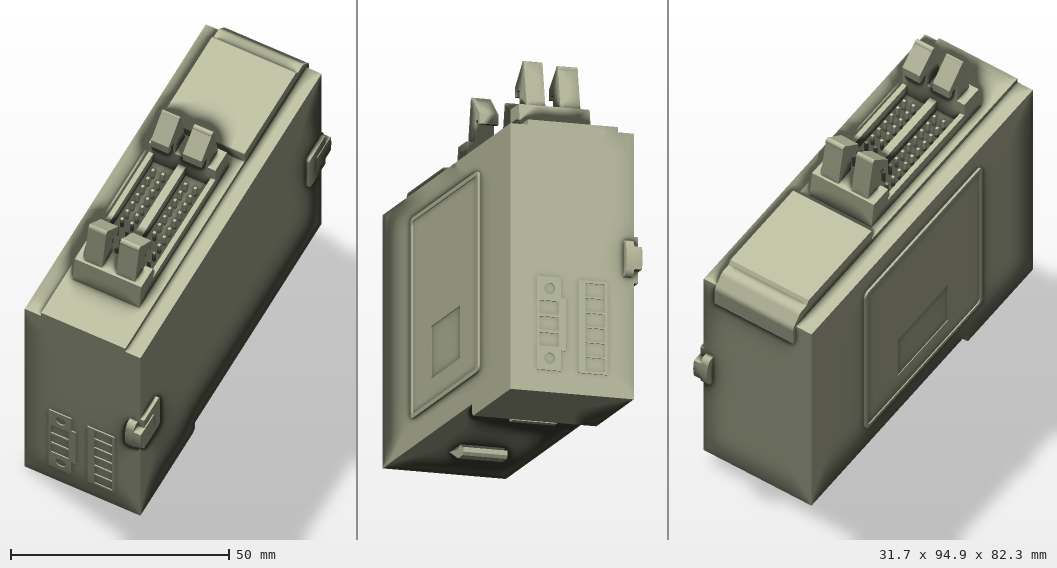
import cadquery as cq


body_width = 29.9
body_length = 89.8
body_top = 62.8
body_underside = 2.9
foot_end = 27.1
foot_chamfer_run = 0.9
foot_chamfer_rise = 1.0
side = body_width / 2
body_mid_y = body_length / 2

cover_x = 0.2
cover_width = 21.7
cover_top = 64.1
door_front = 59.0
door_back = 91.0
door_bottom = 58.0
door_top = 67.1
door_step_z = 66.05
door_step_y = 85.5
door_step_bevel = 0.95
door_corner_chamfer = 3.0
door_corner_radius = 1.9
door_edge_radius = 0.3
edge_tolerance = 0.1

connector_y = 33.9
base_width = 17.2
base_half_bottom = 22.3
base_half_top = 21.3
base_top = 71.0
slot_half = 15.5
slot_floor = 67.4
pocket_offset = 4.2
pocket_width = 6.5
pin_size = 0.7
pin_pitch = 2.6
pin_rows = 10
pin_height = 3.0

latch_foot_half = 20.6
latch_outer_half = 18.7
latch_crest_half = 17.8
latch_bend_half = 17.3
hook_tip_half = 12.4
lip_inner_half = 13.6
hook_tip_z = 77.2
lip_bottom = 74.7
latch_bend_drop = 0.6
latch_shoulder_drop = 0.95
latch_arc_drop = 0.3
left_latch_width = 4.6
left_latch_top = 82.1
left_hook_underside = 75.8
right_latch_width = 4.8
latch_height_difference = 0.6

panel_size = 47.45
panel_y = 44.9
panel_z = 33.0
panel_height = 0.6
panel_recess = 0.3
panel_frame = 0.95
panel_radius = 1.5
label_length = 20.3
label_height = 12.4
label_z = 21.8
label_depth = 0.2

block_height = 0.3
block_bottom = 5.1
screw_block_left = 6.4 - side
screw_block_width = 5.8
screw_block_length = 22.1
screw_block_key_width = 1.1
screw_block_key_length = 12.4
screw_block_window_width = 4.65
screw_block_window_x = 9.2 - side
screw_block_pitch = 3.8
screw_block_windows = 3
screw_x = 9.4 - side
screw_offset = 8.3
screw_radius = 1.3
plug_block_left = 16.3 - side
plug_block_width = 7.0
plug_block_length = 21.9
plug_block_window_width = 4.6
plug_block_window_x = 20.4 - side
plug_block_pitch = 3.5
plug_block_windows = 6
window_height = 3.1

lock_z = 32.9
overall_length = 94.9
lock_bulge = (overall_length - body_length) / 2
lock_flat = 0.95
lock_half_height = 4.3
lock_arc_edge = 2.2
lock_arc_half_height = 2.9
lock_mid_corner = (1.8, 3.7)
lock_left = 27.2 - side
lock_grip_width = 2.0
lock_slider_right = side + 1.2
lock_slider_half_height = 2.7
lock_slider_reach = 4.4
lock_slider_setback = 0.1
lock_plate_thickness = 0.95
lock_plate_reach = 7.9
lock_plate_half_height = 5.5
lock_plate_radius = 0.95

clip_width = 10.7
rail_face_z = 1.8
fixed_clip_tip_y = 29.7
fixed_clip_toe_y = 28.1
fixed_clip_bottom = -0.2
sprung_clip_tip_y = 60.7
sprung_clip_bevel = 0.7
sprung_clip_neck_y = 62.9
sprung_clip_heel_y = 64.5
sprung_clip_ramp_end = 70.6

overlap = 0.95


def box(x_range, y_range, z_range):
    sizes = [high - low for low, high in (x_range, y_range, z_range)]
    corner = (x_range[0], y_range[0], z_range[0])
    return cq.Workplane("XY").box(*sizes, centered=False).translate(corner)


def across(profile, x_left, x_right):
    """Extrude a closed (Y, Z) profile from x_left to x_right."""
    return profile.extrude(x_right - x_left).translate((x_left, 0, 0))


def polygon(points):
    return cq.Workplane("YZ").polyline(points).close()


def mirrored_in_y(shape, y_middle):
    return shape.mirror("XZ", (0, y_middle, 0))


def housing():
    outline = [
        (0, 0),
        (foot_end - foot_chamfer_run, 0),
        (foot_end, foot_chamfer_rise),
        (foot_end, body_underside),
        (body_length, body_underside),
        (body_length, body_top),
        (0, body_top),
    ]
    return across(polygon(outline), -side, side)


def cover_and_door():
    left = cover_x - cover_width / 2
    right = cover_x + cover_width / 2
    cover = box((left, right), (0, door_step_y), (body_top, cover_top))
    chamfer_start_y = door_back - door_corner_chamfer
    chamfer_end_z = door_step_z - door_corner_chamfer
    outline = [
        (door_front, body_top - overlap),
        (door_front, door_top),
        (door_step_y - door_step_bevel, door_top),
        (door_step_y, door_step_z),
        (chamfer_start_y, door_step_z),
        (door_back, chamfer_end_z),
        (door_back, door_bottom),
        (body_length - overlap, door_bottom),
        (body_length - overlap, body_top - overlap),
    ]
    door = across(polygon(outline), left, right)

    def edge_at(y, z):
        near = (-side, y - edge_tolerance, z - edge_tolerance)
        far = (side, y + edge_tolerance, z + edge_tolerance)
        return cq.selectors.BoxSelector(near, far)

    for y, z in ((chamfer_start_y, door_step_z), (door_back, chamfer_end_z)):
        door = door.edges(edge_at(y, z)).fillet(door_corner_radius)
    for y in (door_front, door_step_y - door_step_bevel):
        door = door.edges(edge_at(y, door_top)).fillet(door_edge_radius)
    return cover.union(door)


def connector_base():
    outline = [
        (connector_y - base_half_bottom, cover_top),
        (connector_y - base_half_top, base_top),
        (connector_y - slot_half, base_top),
        (connector_y - slot_half, slot_floor),
        (connector_y + slot_half, slot_floor),
        (connector_y + slot_half, base_top),
        (connector_y + base_half_top, base_top),
        (connector_y + base_half_bottom, cover_top),
    ]
    base = across(polygon(outline), -base_width / 2, base_width / 2)
    slot_range = (connector_y - slot_half, connector_y + slot_half)
    for x in (-pocket_offset, pocket_offset):
        pocket_range = (x - pocket_width / 2, x + pocket_width / 2)
        base = base.cut(box(pocket_range, slot_range, (cover_top, slot_floor)))
    return base


def pins(x_middle):
    return (
        cq.Workplane("XY", origin=(x_middle, connector_y, body_top))
        .rarray(pin_pitch, pin_pitch, 2, pin_rows)
        .rect(pin_size, pin_size)
        .extrude(cover_top + pin_height - body_top)
    )


def latch_pair(x_middle, width, top, underside, rounded_top):
    """Two facing hooks; their profile runs outward from the middle of the connector."""
    shoulder_z = top - latch_shoulder_drop
    bend_z = top - latch_bend_drop

    def at(half, z):
        return (connector_y - half, z)

    profile = cq.Workplane("YZ").moveTo(*at(slot_half, base_top - overlap))
    profile = profile.lineTo(*at(slot_half, underside))
    profile = profile.lineTo(*at(lip_inner_half, underside))
    profile = profile.lineTo(*at(lip_inner_half, lip_bottom))
    profile = profile.lineTo(*at(hook_tip_half, lip_bottom))
    profile = profile.lineTo(*at(hook_tip_half, hook_tip_z))
    profile = profile.lineTo(*at(latch_bend_half, bend_z))
    if rounded_top:
        profile = profile.threePointArc(at(latch_crest_half, top), at(latch_outer_half, shoulder_z))
    else:
        arc_half = (latch_crest_half + 2 * latch_outer_half) / 3
        profile = profile.lineTo(*at(latch_crest_half, top))
        profile = profile.threePointArc(at(arc_half, top - latch_arc_drop), at(latch_outer_half, shoulder_z))
    profile = profile.lineTo(*at(latch_foot_half, base_top))
    profile = profile.lineTo(*at(latch_foot_half, base_top - overlap)).close()
    front = across(profile, x_middle - width / 2, x_middle + width / 2)
    return front.union(mirrored_in_y(front, connector_y))


def label_panel():
    def plate(size_y, size_z, z_middle, x_left, thickness):
        start = cq.Workplane("YZ", origin=(x_left, panel_y, z_middle))
        return start.rect(size_y, size_z).extrude(thickness)

    left = -side - panel_height
    inner_size = panel_size - 2 * panel_frame
    panel = plate(panel_size, panel_size, panel_z, left, panel_height)
    panel = panel.edges("|X").fillet(panel_radius)
    recess = plate(inner_size, inner_size, panel_z, left, panel_recess)
    recess = recess.edges("|X").fillet(panel_radius - panel_frame / 2)
    label = plate(label_length, label_height, label_z, left + panel_recess, label_depth)
    return panel.cut(recess).cut(label)


def cut_windows(part, count, pitch, x_middle, z_middle, width):
    """Cut a column of windows through a terminal block, down to the housing face."""
    x_range = (x_middle - width / 2, x_middle + width / 2)
    for index in range(count):
        z = z_middle + (index - (count - 1) / 2) * pitch
        z_range = (z - window_height / 2, z + window_height / 2)
        part = part.cut(box(x_range, (-block_height, 0), z_range))
    return part


def add_screw_block(part):
    z_middle = block_bottom + screw_block_length / 2
    right = screw_block_left + screw_block_width
    y_range = (-block_height, 0)
    key_half = screw_block_key_length / 2
    part = part.union(
        box((screw_block_left, right), y_range, (block_bottom, block_bottom + screw_block_length))
    )
    part = part.union(
        box((right, right + screw_block_key_width), y_range, (z_middle - key_half, z_middle + key_half))
    )
    part = cut_windows(
        part,
        screw_block_windows,
        screw_block_pitch,
        screw_block_window_x,
        z_middle,
        screw_block_window_width,
    )
    screws = (
        cq.Workplane("XZ", origin=(screw_x, -block_height, z_middle))
        .pushPoints([(0, -screw_offset), (0, screw_offset)])
        .circle(screw_radius)
        .extrude(-block_height)
    )
    return part.cut(screws)


def add_plug_block(part):
    z_range = (block_bottom, block_bottom + plug_block_length)
    x_range = (plug_block_left, plug_block_left + plug_block_width)
    part = part.union(box(x_range, (-block_height, 0), z_range))
    return cut_windows(
        part,
        plug_block_windows,
        plug_block_pitch,
        plug_block_window_x,
        sum(z_range) / 2,
        plug_block_window_width,
    )


def slide_lock():
    """Front lock: a domed grip, a narrower slider beside it and the plate behind the slider."""
    corner_y, corner_z = lock_mid_corner

    def domed_profile(reach):
        return (
            cq.Workplane("YZ", origin=(0, 0, lock_z))
            .moveTo(reach, -lock_half_height)
            .lineTo(-lock_flat, -lock_half_height)
            .threePointArc((-corner_y, -corner_z), (-lock_arc_edge, -lock_arc_half_height))
            .threePointArc((-lock_bulge, 0), (-lock_arc_edge, lock_arc_half_height))
            .threePointArc((-corner_y, corner_z), (-lock_flat, lock_half_height))
            .lineTo(reach, lock_half_height)
            .close()
        )

    grip_right = lock_left + lock_grip_width
    grip = across(domed_profile(overlap), lock_left, grip_right)
    slider = across(domed_profile(lock_slider_reach), grip_right, lock_slider_right)
    slider_z = (lock_z - lock_slider_half_height, lock_z + lock_slider_half_height)
    slider_band = box((grip_right, lock_slider_right), (-lock_bulge, lock_slider_reach), slider_z)
    slider = slider.translate((0, lock_slider_setback, 0)).intersect(slider_band)
    plate_z = (lock_z - lock_plate_half_height, lock_z + lock_plate_half_height)
    plate = box((side, side + lock_plate_thickness), (0, lock_plate_reach), plate_z)
    plate = plate.faces(">Y").edges("|X").fillet(lock_plate_radius)
    return grip.union(slider).union(plate)


def rail_clips():
    fixed = [
        (fixed_clip_tip_y, rail_face_z),
        (foot_end - overlap, rail_face_z),
        (foot_end - foot_chamfer_run, fixed_clip_bottom),
        (fixed_clip_toe_y, fixed_clip_bottom),
    ]
    sprung = [
        (sprung_clip_ramp_end, body_underside),
        (sprung_clip_heel_y, 0),
        (sprung_clip_tip_y + sprung_clip_bevel, 0),
        (sprung_clip_tip_y, sprung_clip_bevel),
        (sprung_clip_tip_y, rail_face_z),
        (sprung_clip_neck_y, rail_face_z),
        (sprung_clip_neck_y, body_underside),
    ]
    half = clip_width / 2
    return across(polygon(fixed), -half, half).union(across(polygon(sprung), -half, half))


result = housing().union(cover_and_door()).union(connector_base())
for pocket_x in (-pocket_offset, pocket_offset):
    result = result.union(pins(pocket_x))
result = result.union(
    latch_pair(-pocket_offset, left_latch_width, left_latch_top, left_hook_underside, False)
)
result = result.union(
    latch_pair(
        pocket_offset,
        right_latch_width,
        left_latch_top - latch_height_difference,
        left_hook_underside - latch_height_difference,
        True,
    )
)
result = result.union(label_panel())
result = add_screw_block(result)
result = add_plug_block(result)
front_lock = slide_lock()
result = result.union(front_lock).union(mirrored_in_y(front_lock, body_mid_y))
result = result.union(rail_clips())